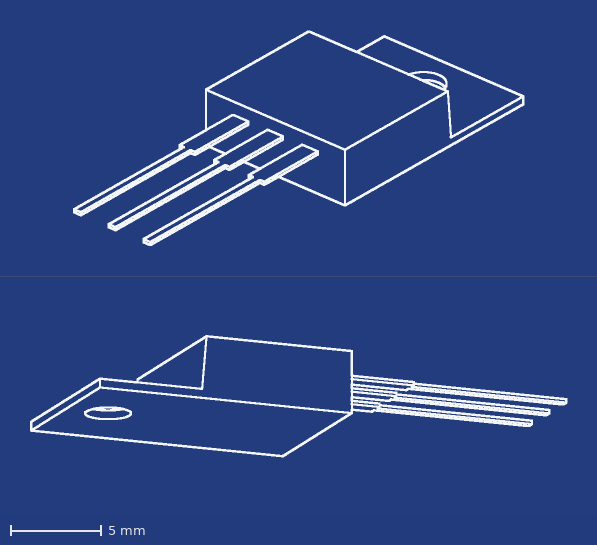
import cadquery as cq
import math

package_width = 10.2
package_length = 15.0
package_height = 3.55
tab_thickness = 0.51
tab_length = 6.08
body_draft_angle = 5.0

hole_diameter = 2.54
hole_to_tab_end = 2.54

lead_count = 3
lead_pitch = 2.54
lead_thickness = 0.2
lead_center_height = 2.6
lead_length = 13.72
shoulder_width = 1.14
shoulder_length = 4.5
pin_width = 0.5

body_foot_y = package_length - tab_length
body_lean = (package_height - tab_thickness) * math.tan(math.radians(body_draft_angle))
hole_y = package_length - hole_to_tab_end


def make_package():
    """Body and tab as one side profile in the YZ plane, extruded across the width."""
    profile = [
        (0, 0),
        (package_length, 0),
        (package_length, tab_thickness),
        (body_foot_y, tab_thickness),
        (body_foot_y - body_lean, package_height),
        (0, package_height),
    ]
    return cq.Workplane("YZ").polyline(profile).close().extrude(package_width / 2, both=True)


def make_hole():
    """Round cutter for the mounting hole, through the full tab thickness."""
    return cq.Workplane("XY").center(0, hole_y).circle(hole_diameter / 2).extrude(tab_thickness)


def make_lead_strip(x, width, length):
    """Flat strip running from the back of the body toward -Y."""
    strip = cq.Workplane("XY").box(width, length, lead_thickness)
    return strip.translate((x, -length / 2, lead_center_height))


def make_lead(x):
    """Stepped lead: wide shoulder with the narrow pin running on past it."""
    shoulder = make_lead_strip(x, shoulder_width, shoulder_length)
    pin = make_lead_strip(x, pin_width, lead_length)
    return shoulder.union(pin)


result = make_package().cut(make_hole())
for index in range(lead_count):
    lead_x = (index - (lead_count - 1) / 2) * lead_pitch
    result = result.union(make_lead(lead_x))